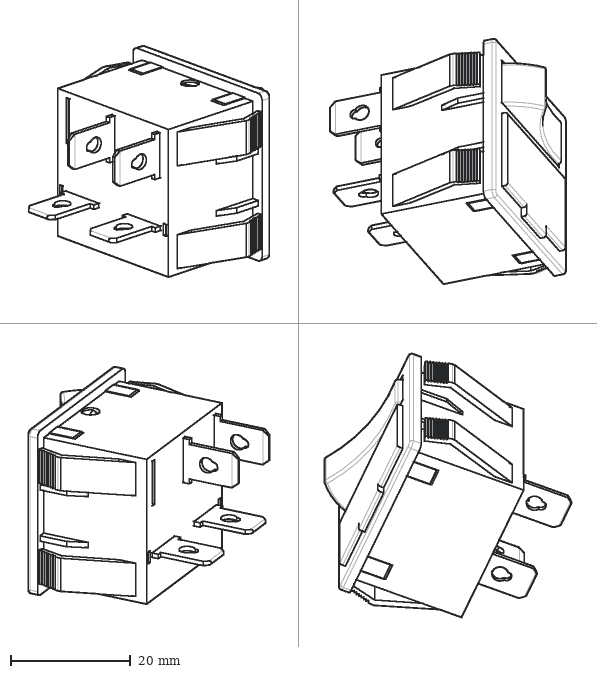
import cadquery as cq
import math


FLANGE_WIDTH = 31.38
FLANGE_HEIGHT = 30.0
FLANGE_THICKNESS = 2.0
FLANGE_CORNER_RADIUS = 1.0
FLANGE_EDGE_RADIUS = 0.5
BODY_WIDTH = 26.95
BODY_HEIGHT = 26.4
BODY_DEPTH = 19.5

PAD_WIDTH = 3.0
PAD_CENTER_X = 10.0
PAD_THICKNESS = 0.15
PAD_LENGTH = 4.9
PAD_RAMP_LENGTH = 0.38

RIB_REACH_X = 14.8
RIB_THICKNESS = 0.98
RIB_CENTER_Z = 4.65
RIB_STRAIGHT_LENGTH = 5.0
RIB_LENGTH = 8.45

CLIP_HEIGHT = 6.05
CLIP_CENTER_Z = 9.18
CLIP_TIP_OUTER = (16.18, -0.5)
CLIP_TIP_INNER = (15.35, -0.7)
CLIP_BEND_X = 17.5
CLIP_BEND_TOP_Y = -4.8
CLIP_BEND_BOTTOM_Y = -5.35
CLIP_BEND_INNER = (16.48, -4.95)
CLIP_ROOT_OUTER_Y = -17.4
CLIP_ROOT_INNER_Y = -14.22
TOOTH_COUNT = 7
TOOTH_PITCH = 0.5
TOOTH_FIRST_RIDGE = (16.4, -0.8)
TOOTH_RIDGE_LEAN = 0.29
TOOTH_DEPTH = 0.25
TOOTH_FLANK_LENGTH = 0.32

ROCKER_RADIUS = 12.25
ROCKER_TILT = 15.2
ROCKER_CENTER_Z = 8.0
ROCKER_THICKNESS = 8.05
ROCKER_CORNER_Y = 7.4
ROCKER_HOLLOW_Y = 5.7
ROCKER_REAR_Y = -2.25
ROCKER_EDGE_RADIUS = 0.5
PIVOT_Y = -1.73
PIN_DIAMETER = 3.0
PIN_HOLE_DIAMETER = 3.05
PIN_LENGTH = 0.8
PIN_BEVEL_DROP = 0.7
ROCKER_POCKET_WIDTH = 24.83
ROCKER_POCKET_DEPTH = 8.28

COVER_WIDTH = 24.9
COVER_HEIGHT = 13.85
COVER_CENTER_Z = -4.95
COVER_THICKNESS = 1.05
COVER_EDGE_RADIUS = 0.5
COVER_TAB_WIDTH = 8.28
COVER_TAB_BOTTOM_Z = -13.58

TERMINAL_LENGTH = 10.27
TERMINAL_THICKNESS = 0.8
SHOULDER_WIDTH = 8.1
SHOULDER_LENGTH = 1.15
BLADE_WIDTH = 6.3
TIP_CUT_WIDTH = 0.9
TIP_CUT_LENGTH = 1.05
TAPERED_TIP_THICKNESS = 0.4
KEYHOLE_LARGE_DIAMETER = 2.7
KEYHOLE_LARGE_Y = -4.48
KEYHOLE_SMALL_DIAMETER = 1.6
KEYHOLE_SMALL_Y = -5.68
SLOT_DEPTH = 0.5
UPRIGHT_SPACING_X = 11.0
FLAT_TERMINAL_X = 7.5
FLAT_TERMINAL_Z = -5.0
SMALL_SLOT_WIDTH = 0.7
SMALL_SLOT_HEIGHT = 2.1
SMALL_SLOT_X = 12.6

REAR_Y = -BODY_DEPTH
UPRIGHT_PLACES = [0, UPRIGHT_SPACING_X]
FLAT_PLACES = [-FLAT_TERMINAL_X, FLAT_TERMINAL_X]


def block(x_size, y_min, y_max, z_size, x=0, z=0):
    """Box given by its X and Z sizes and centres and by its Y range."""
    return cq.Workplane("XY").box(x_size, y_max - y_min, z_size).translate((x, (y_min + y_max) / 2, z))


def plan_prism(points, z_center, height):
    """Closed X-Y outline extruded in Z about a centre height."""
    prism = cq.Workplane("XY").polyline(points).close().extrude(height / 2, both=True)
    return prism.translate((0, 0, z_center))



def flange():
    plate = block(FLANGE_WIDTH, 0, FLANGE_THICKNESS, FLANGE_HEIGHT)
    return plate.edges("|Y").fillet(FLANGE_CORNER_RADIUS).faces(">Y").edges().fillet(FLANGE_EDGE_RADIUS)


def pad(x):
    """Top pad that ramps down to the body at its rear end."""
    top_z = BODY_HEIGHT / 2 + PAD_THICKNESS
    profile = [
        (0, 0),
        (0, top_z),
        (PAD_RAMP_LENGTH - PAD_LENGTH, top_z),
        (-PAD_LENGTH, BODY_HEIGHT / 2),
        (-PAD_LENGTH, 0),
    ]
    return cq.Workplane("YZ").polyline(profile).close().extrude(PAD_WIDTH / 2, both=True).translate((x, 0, 0))


def rib(z):
    """Rib on the +X side, tapering back to the body."""
    outline = [
        (0, 0),
        (RIB_REACH_X, 0),
        (RIB_REACH_X, -RIB_STRAIGHT_LENGTH),
        (BODY_WIDTH / 2, -RIB_LENGTH),
        (0, -RIB_LENGTH),
    ]
    return plan_prism(outline, z, RIB_THICKNESS)


def tooth_points():
    """Sawtooth on the outer side of a clip: ridges with a root behind each but the last."""
    first_x, first_y = TOOTH_FIRST_RIDGE
    points = []
    for index in range(TOOTH_COUNT + 1):
        drop = index * TOOTH_PITCH
        ridge_x = first_x + TOOTH_RIDGE_LEAN * drop
        ridge_y = first_y - drop
        points.append((ridge_x, ridge_y))
        if index < TOOTH_COUNT:
            points.append((ridge_x - TOOTH_DEPTH, ridge_y - TOOTH_FLANK_LENGTH))
    return points


def clip(z):
    """Bent clip on the +X side, growing out of the body near its rear."""
    side_x = BODY_WIDTH / 2
    outline = [
        CLIP_TIP_INNER,
        CLIP_TIP_OUTER,
        *tooth_points(),
        (CLIP_BEND_X, CLIP_BEND_TOP_Y),
        (CLIP_BEND_X, CLIP_BEND_BOTTOM_Y),
        (side_x, CLIP_ROOT_OUTER_Y),
        (side_x, CLIP_ROOT_INNER_Y),
        CLIP_BEND_INNER,
    ]
    return plan_prism(outline, z, CLIP_HEIGHT)


def slot(width, height, x, z):
    return block(width, REAR_Y, REAR_Y + SLOT_DEPTH, height, x, z)


def rear_slots():
    """Slots for the four terminals, one spare slot and two small side slots."""
    slots = cq.Workplane("XY")
    for x in [-UPRIGHT_SPACING_X, *UPRIGHT_PLACES]:
        slots = slots.add(slot(TERMINAL_THICKNESS, SHOULDER_WIDTH, x, ROCKER_CENTER_Z))
    for x in FLAT_PLACES:
        slots = slots.add(slot(SHOULDER_WIDTH, TERMINAL_THICKNESS, x, FLAT_TERMINAL_Z))
    for x in (-SMALL_SLOT_X, SMALL_SLOT_X):
        slots = slots.add(slot(SMALL_SLOT_WIDTH, SMALL_SLOT_HEIGHT, x, FLAT_TERMINAL_Z))
    return slots.combine()


def rocker_space():
    """Pocket for the rocker and the pivot hole through its outer wall and into its inner wall."""
    pocket = block(
        ROCKER_POCKET_WIDTH, -ROCKER_POCKET_DEPTH, FLANGE_THICKNESS, ROCKER_THICKNESS, z=ROCKER_CENTER_Z
    )
    wall = BODY_HEIGHT / 2 - ROCKER_CENTER_Z - ROCKER_THICKNESS / 2
    hole = (
        cq.Workplane("XY")
        .circle(PIN_HOLE_DIAMETER / 2)
        .extrude(ROCKER_THICKNESS / 2 + wall, both=True)
        .translate((0, PIVOT_Y, ROCKER_CENTER_Z))
    )
    return pocket.union(hole)


def make_housing():
    body = block(BODY_WIDTH, REAR_Y, 0, BODY_HEIGHT).union(flange())
    for x in (-PAD_CENTER_X, PAD_CENTER_X):
        body = body.union(pad(x)).union(pad(x).mirror("XY"))
    for z in (-RIB_CENTER_Z, RIB_CENTER_Z):
        body = body.union(rib(z)).union(rib(z).mirror("YZ"))
    for z in (-CLIP_CENTER_Z, CLIP_CENTER_Z):
        body = body.union(clip(z)).union(clip(z).mirror("YZ"))
    return body.cut(rear_slots()).cut(rocker_space())



def pivot_pin():
    """Upper pivot pin; the rear half of its end is bevelled so that it snaps into its hole."""
    radius = PIN_DIAMETER / 2
    base_z = ROCKER_THICKNESS / 2
    end_z = base_z + PIN_LENGTH
    pin = cq.Workplane("XY").circle(radius).extrude(end_z)
    bevel = (
        cq.Workplane("YZ")
        .polyline([(0, end_z), (-radius, end_z - PIN_BEVEL_DROP), (-radius, end_z)])
        .close()
        .extrude(PIN_DIAMETER, both=True)
    )
    return pin.cut(bevel)


def make_rocker():
    corner_x = math.sqrt(ROCKER_RADIUS**2 - ROCKER_CORNER_Y**2)
    rear_x = math.sqrt(ROCKER_RADIUS**2 - ROCKER_REAR_Y**2)
    rocker = (
        cq.Workplane("XY")
        .moveTo(-corner_x, ROCKER_CORNER_Y)
        .threePointArc((0, ROCKER_HOLLOW_Y), (corner_x, ROCKER_CORNER_Y))
        .threePointArc((ROCKER_RADIUS, 0), (rear_x, ROCKER_REAR_Y))
        .lineTo(-rear_x, ROCKER_REAR_Y)
        .threePointArc((-ROCKER_RADIUS, 0), (-corner_x, ROCKER_CORNER_Y))
        .close()
        .extrude(ROCKER_THICKNESS / 2, both=True)
    )
    front_edges = cq.selectors.BoxSelector(
        (-ROCKER_RADIUS, ROCKER_REAR_Y / 2, -ROCKER_THICKNESS),
        (ROCKER_RADIUS, ROCKER_RADIUS, ROCKER_THICKNESS),
    )
    rocker = rocker.edges(front_edges).fillet(ROCKER_EDGE_RADIUS)
    rocker = rocker.union(pivot_pin()).union(pivot_pin().mirror("XY"))
    return rocker.rotate((0, 0, 0), (0, 0, 1), ROCKER_TILT).translate((0, PIVOT_Y, ROCKER_CENTER_Z))



def make_cover():
    """Plate on the flange, with a narrow tab on its lower edge."""
    front_y = FLANGE_THICKNESS + COVER_THICKNESS
    plate = block(COVER_WIDTH, FLANGE_THICKNESS, front_y, COVER_HEIGHT, z=COVER_CENTER_Z)
    plate = plate.faces(">Y").edges("|X").fillet(COVER_EDGE_RADIUS)
    tab_height = COVER_CENTER_Z - COVER_TAB_BOTTOM_Z
    tab_z = COVER_TAB_BOTTOM_Z + tab_height / 2
    tab = block(COVER_TAB_WIDTH, FLANGE_THICKNESS, front_y, tab_height, z=tab_z)
    tab = tab.faces("<Z").edges(">Y").fillet(COVER_EDGE_RADIUS)
    return plate.union(tab)



def blade_plan():
    """Keyholed blade lying flat, with a wide shoulder at its root and cut tip corners."""
    tip_half = BLADE_WIDTH / 2 - TIP_CUT_WIDTH
    tip_y = -TERMINAL_LENGTH
    outline = [
        (-SHOULDER_WIDTH / 2, SLOT_DEPTH),
        (-SHOULDER_WIDTH / 2, -SHOULDER_LENGTH),
        (-BLADE_WIDTH / 2, -SHOULDER_LENGTH),
        (-BLADE_WIDTH / 2, tip_y + TIP_CUT_LENGTH),
        (-tip_half, tip_y),
    ]
    outline += [(-x, y) for x, y in reversed(outline)]
    blade = plan_prism(outline, 0, TERMINAL_THICKNESS)
    for y, diameter in ((KEYHOLE_LARGE_Y, KEYHOLE_LARGE_DIAMETER), (KEYHOLE_SMALL_Y, KEYHOLE_SMALL_DIAMETER)):
        hole = cq.Workplane("XY").center(0, y).circle(diameter / 2).extrude(TERMINAL_THICKNESS, both=True)
        blade = blade.cut(hole)
    return blade


def side_profile(rounded):
    """Side of the blade up to its tip, which is either fully round or tapered."""
    half = TERMINAL_THICKNESS / 2
    tip_y = -TERMINAL_LENGTH
    profile = cq.Workplane("YZ").moveTo(SLOT_DEPTH, half)
    if rounded:
        profile = profile.lineTo(tip_y + half, half).threePointArc((tip_y, 0), (tip_y + half, -half))
    else:
        tip_half = TAPERED_TIP_THICKNESS / 2
        profile = profile.lineTo(tip_y + TIP_CUT_LENGTH, half).lineTo(tip_y, tip_half)
        profile = profile.lineTo(tip_y, -tip_half).lineTo(tip_y + TIP_CUT_LENGTH, -half)
    return profile.lineTo(SLOT_DEPTH, -half).close().extrude(SHOULDER_WIDTH, both=True)


def flat_terminal(x):
    terminal = blade_plan().intersect(side_profile(rounded=True))
    return terminal.translate((x, REAR_Y, FLAT_TERMINAL_Z))


def upright_terminal(x):
    terminal = blade_plan().intersect(side_profile(rounded=False))
    return terminal.rotate((0, 0, 0), (0, 1, 0), 90).translate((x, REAR_Y, ROCKER_CENTER_Z))



housing = make_housing()
rocker = make_rocker()
cover = make_cover()
flat_terminals = [flat_terminal(x).val() for x in FLAT_PLACES]
upright_terminals = [upright_terminal(x).val() for x in UPRIGHT_PLACES]

result = cq.Compound.makeCompound(
    [housing.val(), rocker.val(), cover.val(), *flat_terminals, *upright_terminals]
)